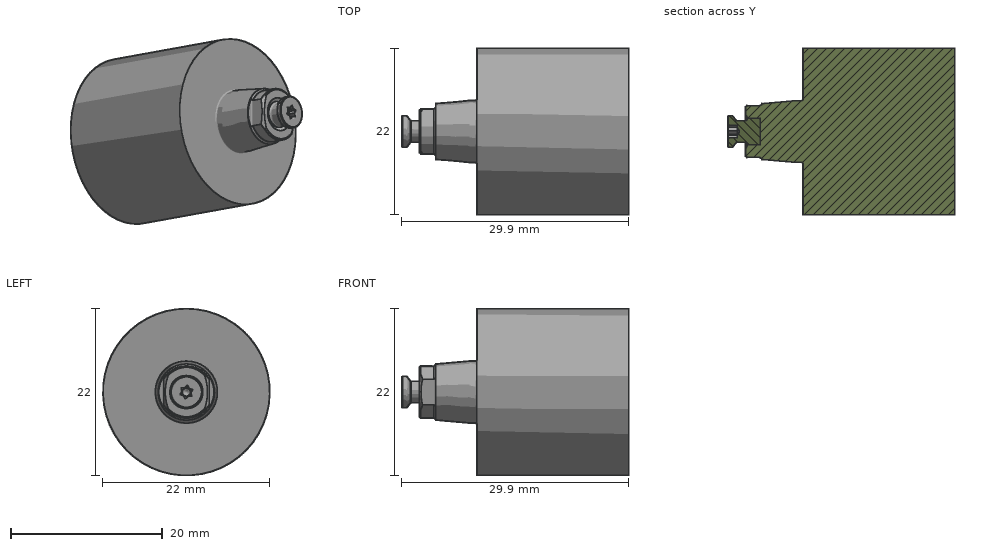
import cadquery as cq
import math


total_length = 29.9
drum_radius = 11.0
drum_start = 9.87
collar_start = 8.88
collar_radius = 4.1
collar_fillet = 0.18
taper_start = 4.48
taper_radius = 3.7
nut_start = 2.3
nut_end = 4.22
nut_radius = 3.45
nut_chamfer = 0.18
shoulder_radius = 3.55
shoulder_end = 4.37

flat_offset = 3.0
flat_fillet = 0.2
flat_end = nut_end + flat_fillet
flat_bevel_radius = 6.58
flat_bevel_offset = 2.78
flat_bevel_depth = 1.5

neck_radius = 1.45
shank_end = 4.22
trough_radius = 2.18
trough_fillet = 0.3
trough_start = 2.2
trough_bottom = trough_start + trough_fillet
shank_radius = neck_radius + trough_fillet
head_radius = 2.1
head_chamfer = 0.1
head_cylinder_end = 0.5
head_rim_radius = 2.0
head_rim_end = 0.72
underside_radius = 1.5
underside_end = 1.08
neck_end = 1.23
trough_width = trough_radius - shank_radius
trough_depth = trough_bottom - nut_start
trough_arc_radius = (trough_width**2 + trough_depth**2) / (2 * trough_depth)

socket_mouth_radius = 0.95
socket_mouth_depth = 0.05
socket_tip_radius = 0.9
socket_root_radius = 0.6
socket_depth = 1.2
socket_points = 6
socket_turn = 8.0
socket_core_radius = 0.55
socket_core_depth = 0.3


def revolve_about_x(profile):
    return profile.close().revolve(360, (0, 0, 0), (1, 0, 0))


def cone_along_x(start, radius, length, end_radius=0.0, y=0.0):
    start_point = cq.Vector(start, y, 0)
    return cq.Workplane(cq.Solid.makeCone(radius, end_radius, length, start_point, cq.Vector(1, 0, 0)))


def flat_cutter():
    """Stock removed beyond the +Y flat, with a rounded inner corner."""
    width = 2 * drum_radius
    cutter = (
        cq.Workplane("XY")
        .box(flat_end, nut_radius, width, centered=(False, False, True))
        .translate((0, flat_offset, 0))
    )
    return cutter.edges(">X and <Y").fillet(flat_fillet)


def flat_bevel_cutter():
    """Nut stock outside a 45 degree cone whose axis lies beyond the part's axis."""
    axis_y = flat_bevel_offset - flat_bevel_radius
    end_radius = flat_bevel_radius + flat_bevel_depth
    cone = cone_along_x(nut_start, flat_bevel_radius, flat_bevel_depth, end_radius, axis_y)
    block = (
        cq.Workplane("XY")
        .box(flat_bevel_depth, nut_radius, 2 * nut_radius, centered=(False, False, True))
        .translate((nut_start, 0, 0))
    )
    return block.cut(cone)


def make_housing():
    profile = (
        cq.Workplane("XZ")
        .moveTo(shank_end, 0)
        .lineTo(shank_end, shank_radius)
        .lineTo(trough_bottom, shank_radius)
        .radiusArc((nut_start, trough_radius), -trough_arc_radius)
        .lineTo(nut_start, nut_radius - nut_chamfer)
        .lineTo(nut_start + nut_chamfer, nut_radius)
        .lineTo(nut_end, nut_radius)
        .lineTo(shoulder_end, shoulder_radius)
        .lineTo(taper_start, taper_radius)
        .lineTo(collar_start, collar_radius)
        .lineTo(drum_start - collar_fillet, collar_radius)
        .radiusArc((drum_start, collar_radius + collar_fillet), -collar_fillet)
        .lineTo(drum_start, drum_radius)
        .lineTo(total_length, drum_radius)
        .lineTo(total_length, 0)
    )
    body = revolve_about_x(profile)
    for cutter in (flat_cutter(), flat_bevel_cutter()):
        body = body.cut(cutter).cut(cutter.mirror("XZ"))
    return body


def socket_cutter():
    corners = []
    for i in range(2 * socket_points):
        radius = socket_root_radius if i % 2 else socket_tip_radius
        angle = math.radians(socket_turn) + i * math.pi / socket_points
        corners.append((-radius * math.sin(angle), radius * math.cos(angle)))
    star = cq.Workplane("YZ").polyline(corners).close().extrude(socket_depth)
    mouth = cone_along_x(0, socket_mouth_radius, socket_mouth_depth, socket_root_radius)
    core = cone_along_x(socket_depth, socket_core_radius, socket_core_depth)
    return star.union(mouth).union(core)


def make_screw():
    profile = (
        cq.Workplane("XY")
        .lineTo(0, head_radius - head_chamfer)
        .lineTo(head_chamfer, head_radius)
        .lineTo(head_cylinder_end, head_radius)
        .tangentArcPoint((head_rim_end, head_rim_radius), relative=False)
        .lineTo(underside_end, underside_radius)
        .lineTo(neck_end, neck_radius)
        .lineTo(trough_start, neck_radius)
        .radiusArc((trough_bottom, shank_radius), -trough_fillet)
        .lineTo(shank_end, shank_radius)
        .lineTo(shank_end, 0)
    )
    return revolve_about_x(profile).cut(socket_cutter())


housing = make_housing()
screw = make_screw()
result = cq.Compound.makeCompound([housing.val(), screw.val()])